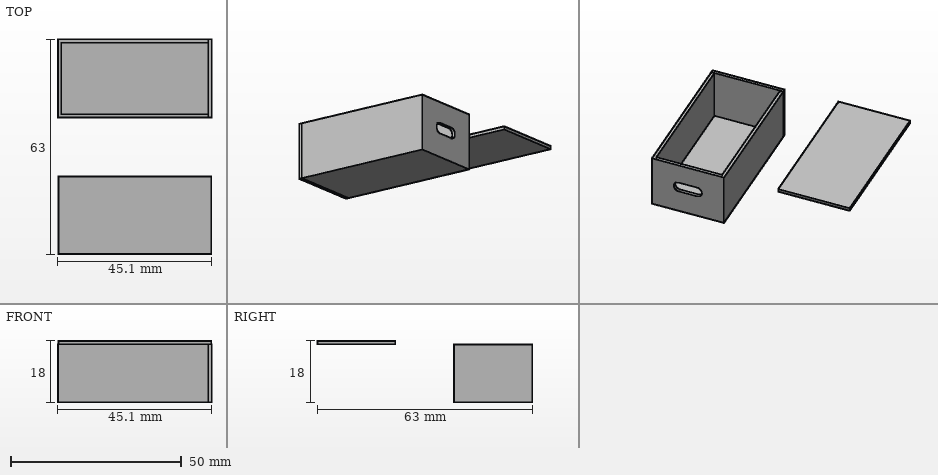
import cadquery as cq

box_length = 45.1
box_width = 23.0
box_height = 17.0
overall_width = 63.0
sheet = 1.0

slot_length = 8.95
slot_height = 3.3
slot_center_z = 8.95

lid_margin = 0.1
lid_width = 22.8

tray_length = box_length - sheet
lid_length = box_length - 2 * lid_margin
lid_front_y = box_width - overall_width


def plate(length, width, height, corner):
    """Rectangular block whose lowest corner is at the given point."""
    return cq.Workplane("XY").box(length, width, height, centered=False).translate(corner)


def make_tray():
    """Floor, two side walls and the -X end wall; open at the top and at the +X end."""
    outside = plate(tray_length, box_width, box_height, (0, 0, 0))
    cavity = plate(
        tray_length - sheet,
        box_width - 2 * sheet,
        box_height - sheet,
        (sheet, sheet, sheet),
    )
    handle_slot = (
        cq.Workplane("YZ")
        .center(box_width / 2, slot_center_z)
        .slot2D(slot_length, slot_height)
        .extrude(sheet)
    )
    return outside.cut(cavity).cut(handle_slot)


def make_end_panel():
    """Full-size plate that closes the +X end of the tray."""
    return plate(sheet, box_width, box_height, (tray_length, 0, 0))


def make_lid():
    """Flat plate level with the top of the box."""
    return plate(lid_length, lid_width, sheet, (lid_margin, lid_front_y, box_height))


tray = make_tray()
end_panel = make_end_panel()
lid = make_lid()

result = cq.Compound.makeCompound([tray.val(), end_panel.val(), lid.val()])